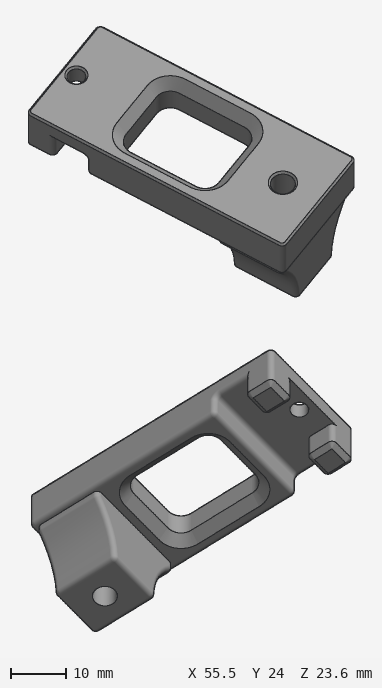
import cadquery as cq
import math

length = 55.5
width = 24.0
plate_thickness = 9.0
edge_round = 1.0
top_chamfer = 0.4

web_thickness = 4.0
notch_end = 13.0

leg_size = 6.0
leg_drop = 10.0
leg_tip_chamfer = 0.999 * edge_round

window_length = 20.0
window_width = 16.0
window_corner = 3.0
window_flare = 2.0
window_x = 27.0

grip_length = 14.0
grip_bottom = 23.65
grip_top_half_width = width / 2 - edge_round
grip_bottom_half_width = 6.0
grip_flank_radius = 20.0
grip_end = length - edge_round
grip_start = grip_end - grip_length

leg_hole_diameter = 3.4
leg_hole_x = leg_size / 2
grip_hole_diameter = 4.5
grip_hole_x = (grip_start + grip_end) / 2
hole_chamfer = 0.4


def make_plate():
    """Plate and notch web as one side outline, starting inside the legs, with rounded lower edges."""
    start = leg_size / 2
    outline = [
        (start, 0),
        (length, 0),
        (length, -plate_thickness),
        (notch_end, -plate_thickness),
        (notch_end, -web_thickness),
        (start, -web_thickness),
    ]
    plate = cq.Workplane("XZ").polyline(outline).close().extrude(width / 2, both=True)
    notch_corner = cq.selectors.NearestToPointSelector((notch_end, 0, -web_thickness))
    plate = plate.edges(notch_corner).fillet(edge_round)
    side_edges = plate.faces("<Y or >Y").edges("not (>Z or <X)").vals()
    end_edges = plate.faces("<Z").edges("|Y").vals()
    return plate.newObject(side_edges + end_edges).fillet(edge_round)


def make_leg(side):
    """Square post with rounded corners and a chamfered tip; side is -1 or 1 along Y."""
    return (
        cq.Workplane("XY")
        .center(leg_size / 2, side * (width - leg_size) / 2)
        .rect(leg_size, leg_size)
        .extrude(-leg_drop)
        .edges("|Z")
        .fillet(edge_round)
        .faces("<Z")
        .chamfer(leg_tip_chamfer)
    )


def make_bridge():
    """Web between the two legs, reaching to the middle of each."""
    return cq.Workplane("XY").center(leg_size / 2, 0).rect(leg_size, width - leg_size).extrude(-web_thickness)


def make_grip():
    """Block with concave flanks that run out vertical at the bottom; its top is buried in the plate."""
    arc_center_y = grip_bottom_half_width + grip_flank_radius
    sweep = math.acos((arc_center_y - grip_top_half_width) / grip_flank_radius)

    def flank_point(side, angle):
        y = arc_center_y - grip_flank_radius * math.cos(angle)
        z = -grip_bottom + grip_flank_radius * math.sin(angle)
        return (side * y, z)

    return (
        cq.Workplane("YZ", origin=(grip_start, 0, 0))
        .moveTo(-grip_top_half_width, -web_thickness)
        .lineTo(*flank_point(-1, sweep))
        .threePointArc(flank_point(-1, sweep / 2), flank_point(-1, 0))
        .lineTo(*flank_point(1, 0))
        .threePointArc(flank_point(1, sweep / 2), flank_point(1, sweep))
        .lineTo(grip_top_half_width, -web_thickness)
        .close()
        .extrude(grip_length)
        .edges("not >Z")
        .fillet(edge_round)
    )


def make_window():
    """Rounded rectangular opening with a 45 degree flare at the top and bottom faces."""

    def rounded_prism(z, margin, height, taper):
        outline = (
            cq.Sketch()
            .rect(window_length + 2 * margin, window_width + 2 * margin)
            .vertices()
            .fillet(window_corner + margin)
        )
        return cq.Workplane("XY", origin=(window_x, 0, z)).placeSketch(outline).extrude(height, taper=taper)

    opening = rounded_prism(0, 0, -plate_thickness, 0)
    top_flare = rounded_prism(0, window_flare, -window_flare, 45)
    bottom_flare = rounded_prism(-plate_thickness, window_flare, window_flare, 45)
    return opening.union(top_flare).union(bottom_flare)


def drill(body, x, diameter):
    """Through hole from the top face with a 45 degree chamfer at its mouth."""
    return body.faces(">Z").workplane(origin=(x, 0, 0)).cskHole(diameter, diameter + 2 * hole_chamfer, 90)


result = make_plate().union(make_bridge())
for leg_side in (-1, 1):
    result = result.union(make_leg(leg_side))
result = result.faces(">Z").chamfer(top_chamfer)
result = result.cut(make_window())
result = result.union(make_grip())
result = drill(result, leg_hole_x, leg_hole_diameter)
result = drill(result, grip_hole_x, grip_hole_diameter)